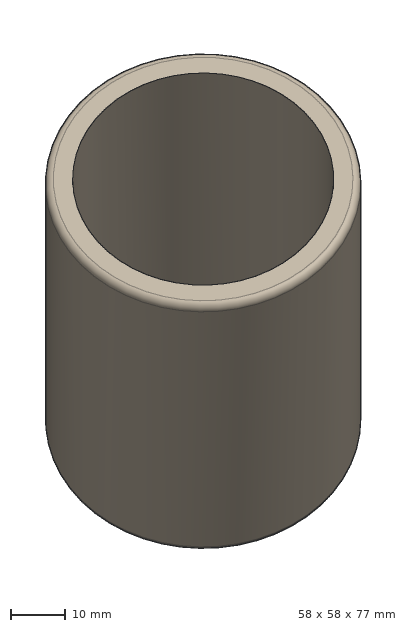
import cadquery as cq

length = 77.0
outer_diameter = 58.0
bore_diameter = 48.0
rim_radius = 1.5

sleeve = cq.Workplane("XY").circle(outer_diameter / 2).extrude(length)

sleeve = sleeve.faces("<Z or >Z").edges().fillet(rim_radius)

result = sleeve.faces(">Z").workplane().hole(bore_diameter)